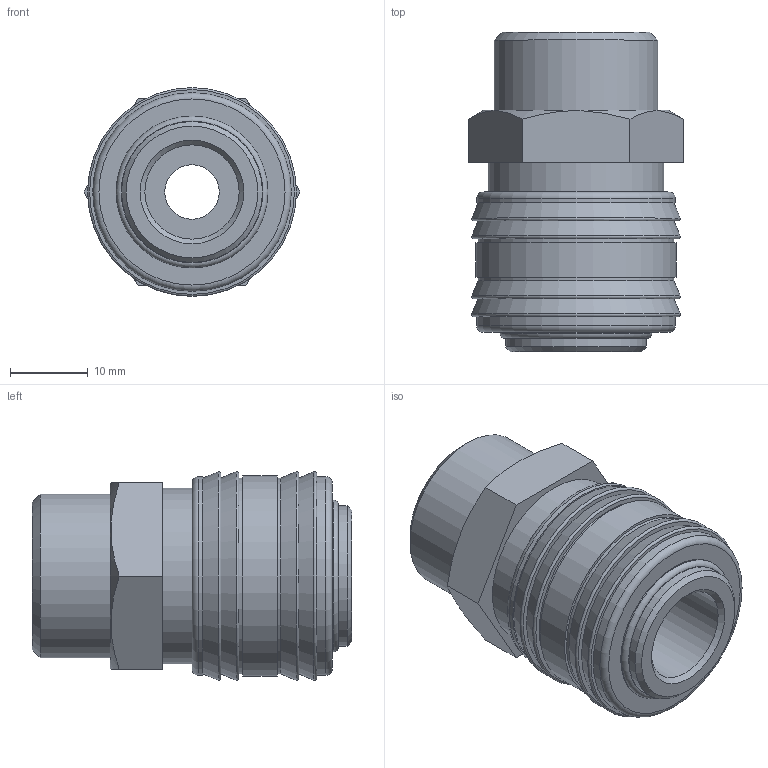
import cadquery as cq
import math


nose_end = 1.7
sleeve_start = 2.5
sleeve_length = 18.0
sleeve_end = sleeve_start + sleeve_length
hex_start = 24.3
hex_end = 31.0
total_length = 41.0

nose_radius = 9.05
nose_chamfer = 0.6
collar_radius = 9.75
collar_fillet = 0.65

sleeve_radius = 12.75
sleeve_fillet = 0.8
band_radius = 12.9
band_start = 9.55
band_end = 14.0

ridge_radius = 13.4
ridge_root_radius = 12.55
ridge_pitch = 2.3
ridge_crest_fillet = 0.25
ridges_per_group = 2
front_group_start = 4.5
rear_group_start = 14.5

neck_radius = 11.25
hex_sides = 6
hex_across_flats = 24.0
hex_across_corners = hex_across_flats / math.cos(math.pi / hex_sides)
hex_chamfer_angle = 30.0
hex_face_radius = 11.85
cone_overhang = 1.0
spigot_radius = 10.5
spigot_chamfer = 1.0

bore_radius = 6.05
bore_depth = 24.0
bore_chamfer = 0.6
passage_radius = 3.5


def cylinder(radius, start, end):
    """Solid cylinder on the Y axis between two stations."""
    return cq.Workplane("XZ", origin=(0, start, 0)).circle(radius).extrude(start - end)


def revolve_profile(points):
    """Turn a closed (radius, station) outline about the Y axis."""
    return cq.Workplane("XY").polyline(points).close().revolve(360, (0, 0, 0), (0, 1, 0))


def make_nose():
    nose = cylinder(nose_radius, 0, sleeve_start).faces("<Y").chamfer(nose_chamfer)
    collar = cylinder(collar_radius, nose_end, sleeve_start).faces("<Y").edges().fillet(collar_fillet)
    return nose.union(collar)


def make_ridge(start):
    """Ridge with a square front face and a slope falling to the rear."""
    end = start + ridge_pitch
    crest_y = start + ridge_crest_fillet
    crest_center_radius = ridge_radius - ridge_crest_fillet
    run = end - crest_y
    drop = crest_center_radius - ridge_root_radius
    slope_angle = math.atan2(drop, run) + math.asin(ridge_crest_fillet / math.hypot(run, drop))
    tangent_radius = crest_center_radius + ridge_crest_fillet * math.cos(slope_angle)
    tangent_y = crest_y + ridge_crest_fillet * math.sin(slope_angle)
    outline = (
        cq.Workplane("XY")
        .moveTo(0, start)
        .lineTo(crest_center_radius, start)
        .threePointArc((ridge_radius, crest_y), (tangent_radius, tangent_y))
        .lineTo(ridge_root_radius, end)
        .lineTo(0, end)
        .close()
    )
    return outline.revolve(360, (0, 0, 0), (0, 1, 0))


def make_sleeve():
    ridge_group_length = ridges_per_group * ridge_pitch
    front_rim = cylinder(sleeve_radius, sleeve_start, front_group_start)
    front_rim = front_rim.faces("<Y").edges().fillet(sleeve_fillet)
    rear_rim_start = rear_group_start + ridge_group_length
    rear_rim = cylinder(sleeve_radius, rear_rim_start, sleeve_end)
    rear_rim = rear_rim.faces(">Y").edges().fillet(sleeve_fillet)
    core = cylinder(ridge_root_radius, front_group_start, rear_rim_start)
    band = cylinder(band_radius, band_start, band_end)
    sleeve = core.union(front_rim).union(rear_rim).union(band)
    for group_start in (front_group_start, rear_group_start):
        for index in range(ridges_per_group):
            sleeve = sleeve.union(make_ridge(group_start + index * ridge_pitch))
    return sleeve


def make_hexagon():
    """Hexagon with corners on the X axis and a conical chamfer at its rear."""
    prism = (
        cq.Workplane("XZ", origin=(0, hex_start, 0))
        .polygon(hex_sides, hex_across_corners)
        .extrude(hex_start - hex_end)
    )
    cone_base_radius = hex_across_corners / 2 + cone_overhang
    cone_drop = (cone_base_radius - hex_face_radius) * math.tan(math.radians(hex_chamfer_angle))
    cone = revolve_profile([
        (0, hex_start),
        (cone_base_radius, hex_start),
        (cone_base_radius, hex_end - cone_drop),
        (hex_face_radius, hex_end),
        (0, hex_end),
    ])
    return prism.intersect(cone)


def make_bores():
    passage = cylinder(passage_radius, 0, total_length)
    mouth_radius = bore_radius + bore_chamfer
    bore = revolve_profile([
        (0, 0),
        (mouth_radius, 0),
        (bore_radius, bore_chamfer),
        (bore_radius, bore_depth),
        (0, bore_depth),
    ])
    return passage.union(bore)


neck = cylinder(neck_radius, sleeve_end, hex_start)
spigot = cylinder(spigot_radius, hex_end, total_length).faces(">Y").chamfer(spigot_chamfer)

body = make_nose().union(make_sleeve()).union(neck).union(make_hexagon()).union(spigot)
result = body.cut(make_bores())